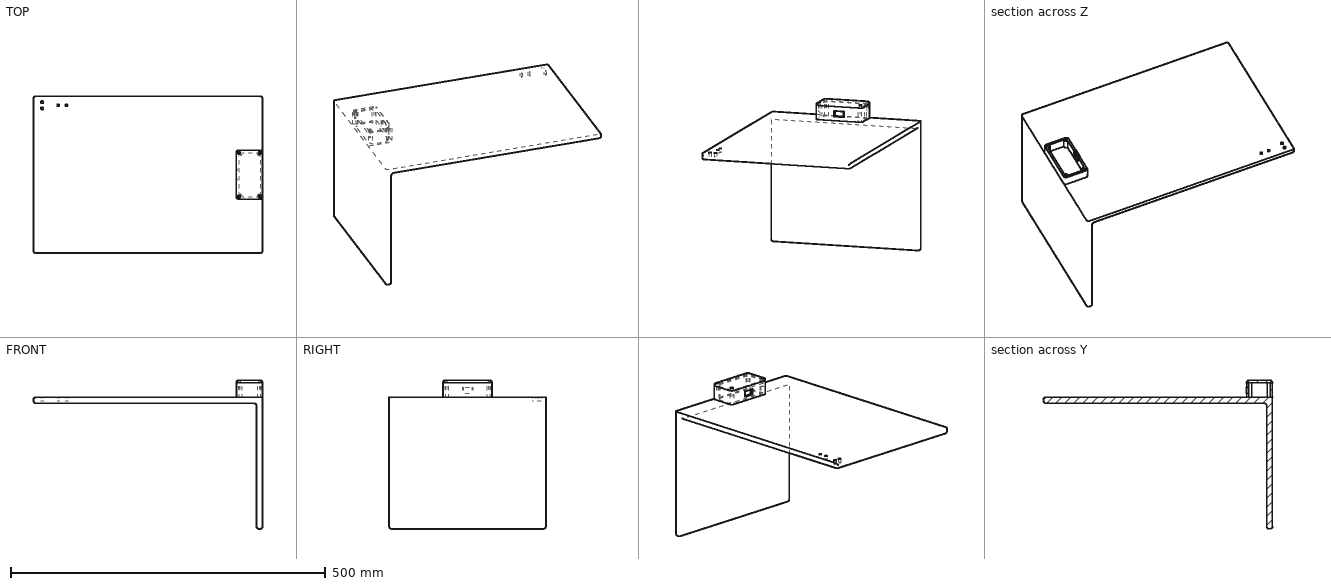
import cadquery as cq

length = 365.0
width = 250.0
height = 237.0
thickness = 10.0
edge_radius = 4.0

box_length = 42.0
box_width = 78.0
box_height = 27.0
wall = 4.0
lid_thickness = edge_radius

screw_inset = 4.5
lid_hole_diameter = 4.0
boss_diameter = 2 * screw_inset
pilot_hole_diameter = 2.6
pilot_hole_depth = 10.0

port_width = 14.2
port_height = 9.0
port_center_height = 11.0
rim_width = 16.8
rim_depth = 1.0

shelf_hole_depth = 6.0
hole_edge_distance = 14.5
pair_hole_diameter = 4.0
pair_x = 14.0
pair_spacing = 10.0
row_hole_diameter = 3.6
row_start_x = 39.5
row_spacing = 13.0

shelf_top = height - box_height
shelf_bottom = shelf_top - thickness
leg_inner_x = length - thickness
lid_bottom = height - lid_thickness
box_left_x = length - box_length
box_center_x = length - box_length / 2
hole_center_y = width / 2 - hole_edge_distance


def make_bracket():
    bracket = (
        cq.Workplane("XZ", origin=(0, width / 2, 0))
        .moveTo(0, shelf_top)
        .lineTo(length, shelf_top)
        .lineTo(length, 0)
        .lineTo(leg_inner_x, 0)
        .lineTo(leg_inner_x, shelf_bottom)
        .lineTo(0, shelf_bottom)
        .close()
        .extrude(width)
    )
    bend = cq.NearestToPointSelector((leg_inner_x, 0, shelf_bottom))
    bracket = bracket.edges(bend).fillet(edge_radius)

    side_edges = bracket.faces("<Y or >Y").edges("not(>Z)")
    end_edges = bracket.faces("<X or <Z").edges("|Y")
    bracket = side_edges.add(end_edges).fillet(edge_radius)

    pair_points = [(pair_x, hole_center_y + side * pair_spacing / 2) for side in (-1, 1)]
    row_points = [(row_start_x + i * row_spacing, hole_center_y) for i in range(2)]
    bracket = bracket.cut(shelf_holes(pair_points, pair_hole_diameter))
    return bracket.cut(shelf_holes(row_points, row_hole_diameter))


def shelf_holes(points, diameter):
    surface = cq.Workplane("XY", origin=(0, 0, shelf_top))
    return surface.pushPoints(points).circle(diameter / 2).extrude(-shelf_hole_depth)


def box_level(bottom, top):
    """Block with the outline of the box, its corners rounded, between two heights."""
    return (
        cq.Workplane("XY", origin=(box_center_x, 0, bottom))
        .rect(box_length, box_width)
        .extrude(top - bottom)
        .edges("|Z")
        .fillet(edge_radius)
    )


def screw_posts(diameter, bottom, top):
    """Four cylinders on the screw axes between two heights."""
    return (
        cq.Workplane("XY", origin=(box_center_x, 0, bottom))
        .rarray(box_length - 2 * screw_inset, box_width - 2 * screw_inset, 2, 2)
        .circle(diameter / 2)
        .extrude(top - bottom)
    )


def make_port_cutter():
    opening = cq.Workplane("XY").box(2 * wall, port_width, port_height)
    rim = cq.Workplane("XY").box(2 * rim_depth, rim_width, port_height)
    return opening.union(rim).translate((box_left_x, 0, shelf_top + port_center_height))


def make_box():
    cavity = (
        cq.Workplane("XY", origin=(box_center_x, 0, shelf_top))
        .rect(box_length - 2 * wall, box_width - 2 * wall)
        .extrude(lid_bottom - shelf_top)
        .cut(screw_posts(boss_diameter, shelf_top, lid_bottom))
    )
    pilot_holes = screw_posts(pilot_hole_diameter, lid_bottom - pilot_hole_depth, lid_bottom)
    return box_level(shelf_top, lid_bottom).cut(cavity).cut(make_port_cutter()).cut(pilot_holes)


def make_lid():
    rounded_box = box_level(shelf_top, height).faces(">Z").edges().fillet(edge_radius)
    lid = rounded_box.intersect(box_level(lid_bottom, height))
    return lid.cut(screw_posts(lid_hole_diameter, lid_bottom, height))


bracket = make_bracket().solids()
box = make_box().solids()
lid = make_lid().solids()

result = cq.Compound.makeCompound([bracket.val(), box.val(), lid.val()])